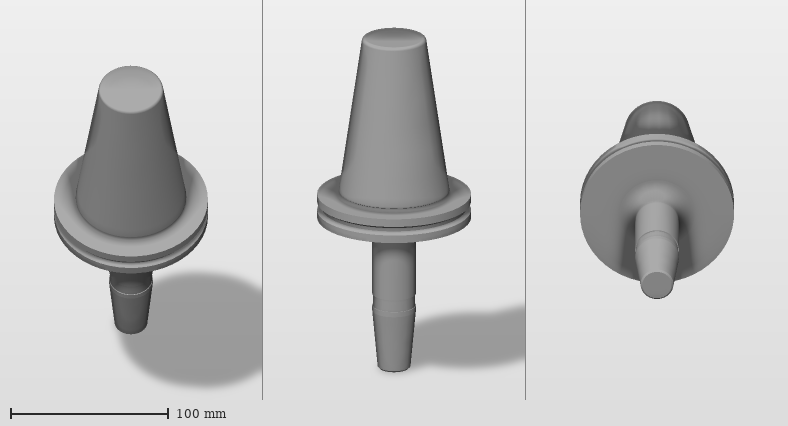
import cadquery as cq
import math

total_length = 221.8
flange_thickness = 16.0
gauge_offset = 3.0
taper_length = 101.8
gauge_z = total_length - taper_length
flange_top_z = gauge_z - gauge_offset
flange_bottom_z = flange_top_z - flange_thickness

gauge_radius = 35.0
taper_slope = 7 / 48
taper_top_radius = gauge_radius - taper_slope * taper_length
top_rounding = 2.2

land_height = 0.7
neck_chamfer = 0.7
flare_radius = 2.0
taper_neck_radius = gauge_radius - neck_chamfer
flare_top_z = flange_top_z + flare_radius
land_bottom_z = gauge_z - land_height

flange_radius = 48.8
groove_z = (flange_top_z + flange_bottom_z) / 2
groove_mouth_width = 5.8
groove_root_width = 2.2
groove_depth = 2.9

shank_diameter = 27.7
shank_radius = shank_diameter / 2
root_fillet = 10.0
neck_radius = 13.3
neck_top_z = 50.0
band_top_z = 42.0
band_bottom_z = 38.5
nose_radius = 10.5
tip_chamfer = 1.0


def concave_arc_middle(center_radius, center_z, arc_radius, z_direction):
    """Midpoint of a quarter arc bulging toward the axis and toward z_direction."""
    diagonal = arc_radius * math.sqrt(0.5)
    return (center_radius - diagonal, center_z + z_direction * diagonal)


def revolve_about_z(profile):
    """Revolve a closed (radius, z) profile a full turn about Z."""
    return profile.revolve(360, (0, 0, 0), (0, 1, 0))


def make_taper():
    flare_center_radius = taper_neck_radius + flare_radius
    flare_middle = concave_arc_middle(flare_center_radius, flare_top_z, flare_radius, -1)
    taper = revolve_about_z(
        cq.Workplane("XZ")
        .moveTo(0, flange_top_z)
        .lineTo(flare_center_radius, flange_top_z)
        .threePointArc(flare_middle, (taper_neck_radius, flare_top_z))
        .lineTo(gauge_radius, land_bottom_z)
        .lineTo(gauge_radius, gauge_z)
        .lineTo(taper_top_radius, total_length)
        .lineTo(0, total_length)
        .close()
    )
    return taper.faces(">Z").edges().fillet(top_rounding)


def make_flange():
    mouth = groove_mouth_width / 2
    root = groove_root_width / 2
    root_radius = flange_radius - groove_depth
    return revolve_about_z(
        cq.Workplane("XZ")
        .moveTo(0, flange_bottom_z)
        .lineTo(flange_radius, flange_bottom_z)
        .lineTo(flange_radius, groove_z - mouth)
        .lineTo(root_radius, groove_z - root)
        .lineTo(root_radius, groove_z + root)
        .lineTo(flange_radius, groove_z + mouth)
        .lineTo(flange_radius, flange_top_z)
        .lineTo(0, flange_top_z)
        .close()
    )


def make_shank():
    fillet_bottom_z = flange_bottom_z - root_fillet
    fillet_center_radius = shank_radius + root_fillet
    fillet_middle = concave_arc_middle(fillet_center_radius, fillet_bottom_z, root_fillet, 1)
    return revolve_about_z(
        cq.Workplane("XZ")
        .moveTo(0, 0)
        .lineTo(nose_radius - tip_chamfer, 0)
        .lineTo(nose_radius, tip_chamfer)
        .lineTo(shank_radius, band_bottom_z)
        .lineTo(shank_radius, band_top_z)
        .lineTo(neck_radius, band_top_z)
        .lineTo(neck_radius, neck_top_z)
        .lineTo(shank_radius, neck_top_z)
        .lineTo(shank_radius, fillet_bottom_z)
        .threePointArc(fillet_middle, (fillet_center_radius, flange_bottom_z))
        .lineTo(0, flange_bottom_z)
        .close()
    )


result = make_flange().union(make_taper()).union(make_shank())